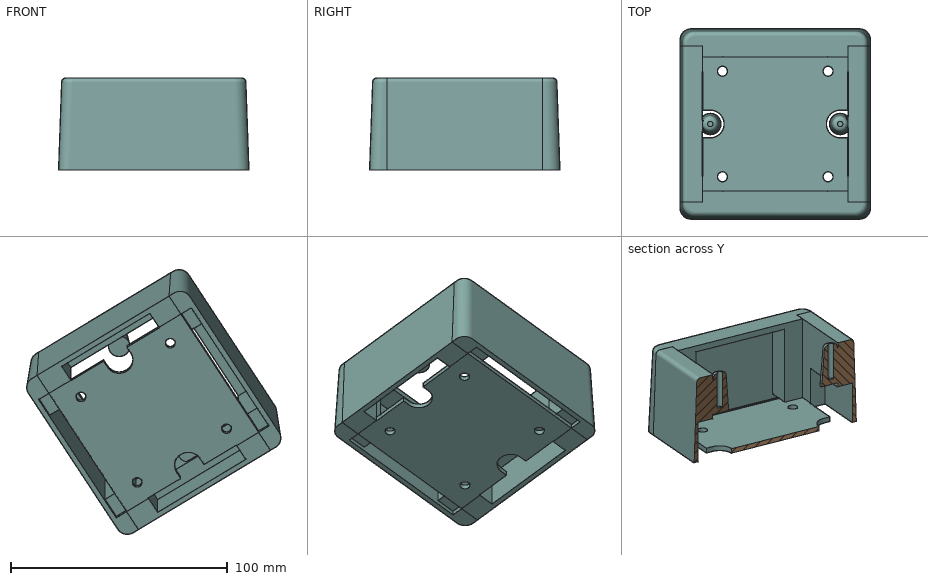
import cadquery as cq

base_side = 88.0
height = 42.5
draft_angle = 2.0
corner_radius = 5.2
top_edge_radius = 2.0

floor_thickness = 2.5
opening_x = 67.4
opening_y = 61.95
floor_length_x = 66.9
floor_length_y = 72.0

recess_reach = 41.6
recess_width = 48.05
end_recess_height = 20.0
side_recess_height = 39.5

mount_hole_diameter = 4.5
mount_hole_pitch = 48.75

end_wall_width = floor_length_y

post_x = 30.0
post_base_z = 22.0
post_base_diameter = 9.9
post_top_diameter = 6.95
post_top_fillet = 2.0
screw_hole_diameter = 2.5
screw_hole_depth = 17.6

slot_radius = 6.3


def block(x_min, x_max, width_y, z_min, z_max):
    """Box between two X positions, centred on Y = 0."""
    return (
        cq.Workplane("XY")
        .box(x_max - x_min, width_y, z_max - z_min, centered=(False, True, False))
        .translate((x_min, 0, z_min))
    )


def make_envelope():
    """Solid tapered block with a rounded top edge."""
    return (
        cq.Workplane("XY")
        .rect(base_side, base_side)
        .extrude(height, taper=draft_angle)
        .edges("not(<Z or >Z)")
        .fillet(corner_radius)
        .faces(">Z")
        .edges()
        .fillet(top_edge_radius)
    )


def end_recess():
    """Recess behind the +X end wall, cutting the floor edge as well."""
    return block(floor_length_x / 2, recess_reach, recess_width, 0, end_recess_height)


def side_recess():
    """Recess in the +Y side wall."""
    depth = recess_reach - opening_y / 2
    centre_y = recess_reach - depth / 2
    recess = block(-recess_width / 2, recess_width / 2, depth, floor_thickness, side_recess_height)
    return recess.translate((0, centre_y, 0))


def side_slot():
    """Long slot through the floor below the +Y recess."""
    depth = recess_reach - floor_length_y / 2
    centre_y = recess_reach - depth / 2
    slot = block(-opening_x / 2, opening_x / 2, depth, 0, floor_thickness)
    return slot.translate((0, centre_y, 0))


def floor_slot():
    """Round-ended slot in the floor below the +X post."""
    straight = block(post_x, opening_x / 2, 2 * slot_radius, 0, floor_thickness)
    round_end = cq.Workplane("XY").center(post_x, 0).circle(slot_radius).extrude(floor_thickness)
    return straight.union(round_end)


def end_wall_space():
    """Full-height region of the envelope that the +X end wall fills."""
    return block(opening_x / 2, base_side / 2, end_wall_width, 0, height)


def both_ends(shape):
    """The +X shape followed by its copy turned to the -X end."""
    return [shape, shape.rotate((0, 0, 0), (0, 0, 1), 180)]


def make_housing(envelope):
    opening = block(-opening_x / 2, opening_x / 2, opening_y, floor_thickness, height)
    mount_holes = (
        cq.Workplane("XY")
        .rect(mount_hole_pitch, mount_hole_pitch, forConstruction=True)
        .vertices()
        .circle(mount_hole_diameter / 2)
        .extrude(floor_thickness)
    )
    housing = envelope.cut(opening).cut(mount_holes)
    for feature in (end_wall_space(), end_recess(), floor_slot(), side_recess(), side_slot()):
        for cutter in both_ends(feature):
            housing = housing.cut(cutter)
    return housing


def make_post():
    """Tapered screw post with a rounded tip, flush with the box top."""
    return (
        cq.Workplane("XY", origin=(post_x, 0, post_base_z))
        .circle(post_base_diameter / 2)
        .workplane(offset=height - post_base_z)
        .circle(post_top_diameter / 2)
        .loft()
        .faces(">Z")
        .edges()
        .fillet(post_top_fillet)
    )


def make_end_wall(envelope):
    """The +X end wall with its screw post."""
    wall = envelope.intersect(end_wall_space()).cut(end_recess())
    screw_hole = (
        cq.Workplane("XY", origin=(post_x, 0, height))
        .circle(screw_hole_diameter / 2)
        .extrude(-screw_hole_depth)
    )
    return wall.union(make_post()).cut(screw_hole)


envelope = make_envelope()
housing = make_housing(envelope)
end_walls = both_ends(make_end_wall(envelope))

result = cq.Compound.makeCompound([housing.solids().val(), *[wall.solids().val() for wall in end_walls]])